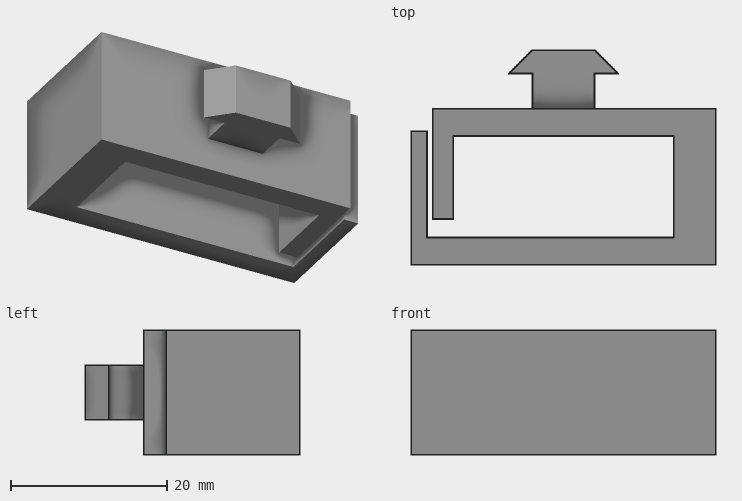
import cadquery as cq

length = 39.0
depth = 20.0
height = 16.0
long_wall = 3.5
end_wall = 5.4

outer_lip_thickness = 2.03
outer_lip_top = 17.12
lip_gap = 0.7
inner_lip_thickness = 2.65
inner_lip_bottom = 5.85

clip_center_x = length / 2
clip_height = 7.02
stem_width = 8.0
barb_width = 14.0
barb_depth = 3.0
clip_length = 7.5


def make_frame():
    """Open rectangular loop whose two free ends overlap on the left."""
    inner_right = length - end_wall
    back_inner_y = depth - long_wall
    inner_lip_left = outer_lip_thickness + lip_gap
    inner_lip_right = inner_lip_left + inner_lip_thickness
    outline = [
        (0, 0),
        (length, 0),
        (length, depth),
        (inner_lip_left, depth),
        (inner_lip_left, inner_lip_bottom),
        (inner_lip_right, inner_lip_bottom),
        (inner_lip_right, back_inner_y),
        (inner_right, back_inner_y),
        (inner_right, long_wall),
        (outer_lip_thickness, long_wall),
        (outer_lip_thickness, outer_lip_top),
        (0, outer_lip_top),
    ]
    return cq.Workplane("XY").polyline(outline).close().extrude(height)


def make_clip():
    """Stem with a tapered arrowhead, centred on the frame height."""
    root_y = depth - long_wall / 2
    tip_y = depth + clip_length
    barb_y = tip_y - barb_depth
    right_half = [
        (stem_width / 2, root_y),
        (stem_width / 2, barb_y),
        (barb_width / 2, barb_y),
        (stem_width / 2, tip_y),
    ]
    left_half = [(-x, y) for x, y in reversed(right_half)]
    return (
        cq.Workplane("XY")
        .polyline(right_half + left_half)
        .close()
        .extrude(clip_height)
        .translate((clip_center_x, 0, (height - clip_height) / 2))
    )


result = make_frame().union(make_clip())